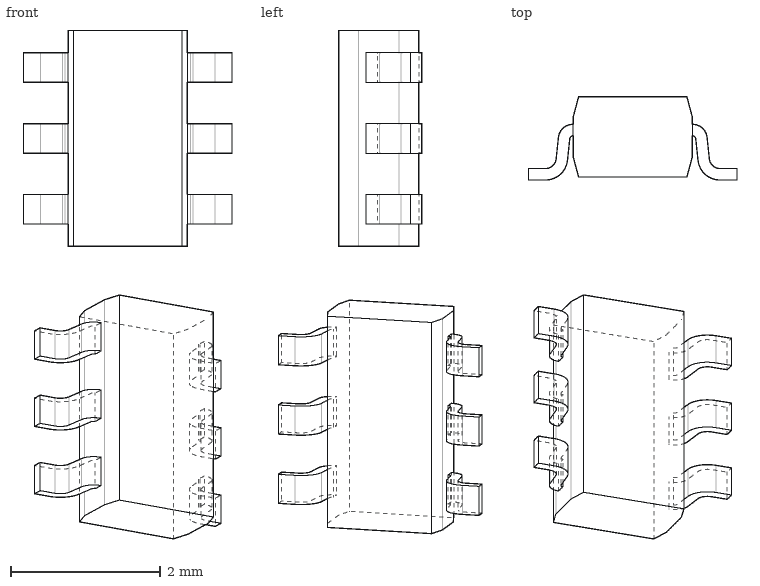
import cadquery as cq
import math

HOUSING_LENGTH = 2.9
HOUSING_WIDTH = 1.6
HOUSING_DEPTH = 1.08
STANDOFF = 0.04
TAPER_INSET = 0.072
TAPER_DEPTH = HOUSING_DEPTH / 4

OVERALL_WIDTH = 2.8
LEAD_WIDTH = 0.4
LEAD_THICKNESS = 0.157
LEAD_PITCH = 0.95
LEADS_PER_SIDE = 3
SHOULDER_HEIGHT = 0.75
SHOULDER_INNER_RADIUS = 0.044
ANKLE_INNER_RADIUS = 0.142
LEG_LEAN = math.radians(6)


def make_housing():
    """Eight-sided prism with sloped edges along both wide faces."""
    half_width = HOUSING_WIDTH / 2
    half_face = half_width - TAPER_INSET
    front = STANDOFF
    back = STANDOFF + HOUSING_DEPTH
    outline = [
        (-half_face, front),
        (half_face, front),
        (half_width, front + TAPER_DEPTH),
        (half_width, back - TAPER_DEPTH),
        (half_face, back),
        (-half_face, back),
        (-half_width, back - TAPER_DEPTH),
        (-half_width, front + TAPER_DEPTH),
    ]
    return (
        cq.Workplane("XY")
        .workplane(offset=-HOUSING_LENGTH / 2)
        .polyline(outline)
        .close()
        .extrude(HOUSING_LENGTH)
    )


def polar(center, radius, angle):
    """Point at the given radius and angle from a centre."""
    return (center[0] + radius * math.cos(angle), center[1] + radius * math.sin(angle))


def make_lead(z_center):
    """Lead on the +X side: shoulder bend, leaning leg, ankle bend and flat foot."""
    shoulder_outer_radius = SHOULDER_INNER_RADIUS + LEAD_THICKNESS
    ankle_outer_radius = ANKLE_INNER_RADIUS + LEAD_THICKNESS
    side_x = HOUSING_WIDTH / 2
    tip_x = OVERALL_WIDTH / 2

    shoulder = (side_x, SHOULDER_HEIGHT - shoulder_outer_radius)
    ankle_y = ankle_outer_radius
    radius_sum = shoulder_outer_radius + ANKLE_INNER_RADIUS
    drop = shoulder[1] - ankle_y
    leg_length = (drop + radius_sum * math.sin(LEG_LEAN)) / math.cos(LEG_LEAN)
    ankle_x = side_x + radius_sum * math.cos(LEG_LEAN) + leg_length * math.sin(LEG_LEAN)
    ankle = (ankle_x, ankle_y)

    shoulder_mid = (math.pi / 2 + LEG_LEAN) / 2
    ankle_end = math.pi + LEG_LEAN
    ankle_mid = (ankle_end + 3 * math.pi / 2) / 2

    return (
        cq.Workplane("XY")
        .workplane(offset=z_center - LEAD_WIDTH / 2)
        .moveTo(side_x, SHOULDER_HEIGHT)
        .threePointArc(
            polar(shoulder, shoulder_outer_radius, shoulder_mid),
            polar(shoulder, shoulder_outer_radius, LEG_LEAN),
        )
        .lineTo(*polar(ankle, ANKLE_INNER_RADIUS, ankle_end))
        .threePointArc(
            polar(ankle, ANKLE_INNER_RADIUS, ankle_mid),
            (ankle_x, LEAD_THICKNESS),
        )
        .lineTo(tip_x, LEAD_THICKNESS)
        .lineTo(tip_x, 0)
        .lineTo(ankle_x, 0)
        .threePointArc(
            polar(ankle, ankle_outer_radius, ankle_mid),
            polar(ankle, ankle_outer_radius, ankle_end),
        )
        .lineTo(*polar(shoulder, SHOULDER_INNER_RADIUS, LEG_LEAN))
        .threePointArc(
            polar(shoulder, SHOULDER_INNER_RADIUS, shoulder_mid),
            (side_x, SHOULDER_HEIGHT - LEAD_THICKNESS),
        )
        .close()
        .extrude(LEAD_WIDTH)
    )


housing = make_housing()

leads = []
for row in range(LEADS_PER_SIDE):
    row_z = (row - (LEADS_PER_SIDE - 1) / 2) * LEAD_PITCH
    right_lead = make_lead(row_z)
    leads.append(right_lead.val())
    leads.append(right_lead.mirror("YZ").val())

result = cq.Compound.makeCompound([housing.val(), *leads])